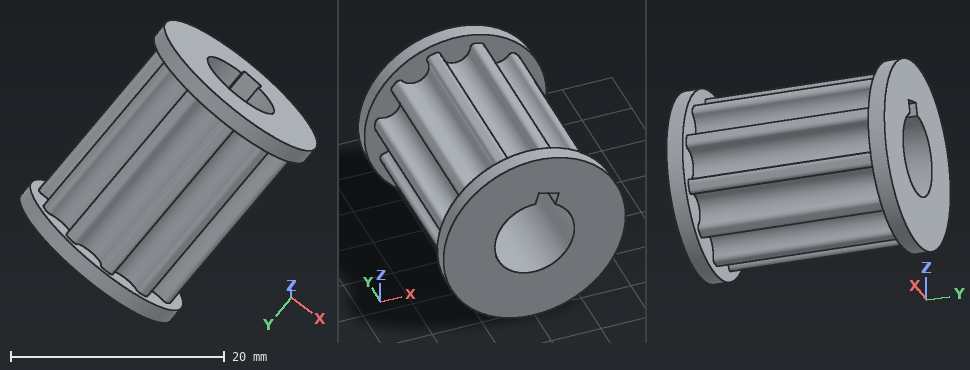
import cadquery as cq
import math

length = 21.68
flange_diameter = 18.36
flange_thickness = 1.6

tooth_count = 11
tip_radius = 8.2
groove_radius = 1.5
groove_center_radius = 7.72
tip_round = 0.43

bore_diameter = 8.0
key_width = 2.1
key_top_radius = 5.12

pitch_angle = 360 / tooth_count
drum_length = length - 2 * flange_thickness


def polar(radius, angle):
    """Point at a radius and an angle in degrees, measured from +Z towards +X."""
    a = math.radians(angle)
    return (radius * math.sin(a), radius * math.cos(a))


def toward(start, end, distance):
    """Point at a distance from start along the line to end."""
    ratio = distance / math.dist(start, end)
    return tuple(s + (e - s) * ratio for s, e in zip(start, end))


def make_drum():
    round_center_radius = tip_radius - tip_round
    center_distance = groove_radius + tip_round
    round_angle = math.degrees(math.acos(
        (round_center_radius**2 + groove_center_radius**2 - center_distance**2)
        / (2 * round_center_radius * groove_center_radius)
    ))
    groove_bottom_radius = groove_center_radius - groove_radius

    outline = cq.Workplane("XZ").moveTo(*polar(tip_radius, -round_angle))
    for i in range(tooth_count):
        angle = i * pitch_angle
        groove_center = polar(groove_center_radius, angle)
        left_center = polar(round_center_radius, angle - round_angle)
        right_center = polar(round_center_radius, angle + round_angle)
        left_tip = polar(tip_radius, angle - round_angle)
        right_tip = polar(tip_radius, angle + round_angle)
        left_wall = toward(left_center, groove_center, tip_round)
        right_wall = toward(right_center, groove_center, tip_round)

        left_chord_middle = tuple((p + q) / 2 for p, q in zip(left_tip, left_wall))
        right_chord_middle = tuple((p + q) / 2 for p, q in zip(right_tip, right_wall))
        left_middle = toward(left_center, left_chord_middle, tip_round)
        right_middle = toward(right_center, right_chord_middle, tip_round)

        land_middle = polar(tip_radius, angle + pitch_angle / 2)
        next_tip = polar(tip_radius, angle + pitch_angle - round_angle)
        outline = (
            outline.threePointArc(left_middle, left_wall)
            .threePointArc(polar(groove_bottom_radius, angle), right_wall)
            .threePointArc(right_middle, right_tip)
            .threePointArc(land_middle, next_tip)
        )
    return outline.close().extrude(drum_length).translate((0, drum_length / 2, 0))


def make_flange(side):
    center_y = side * (length - flange_thickness) / 2
    return (
        cq.Workplane("XZ", origin=(0, center_y + flange_thickness / 2, 0))
        .circle(flange_diameter / 2)
        .extrude(flange_thickness)
    )


def make_bore():
    bore = cq.Workplane("XZ", origin=(0, length / 2, 0)).circle(bore_diameter / 2).extrude(length)
    keyway = (
        cq.Workplane("XY")
        .rect(key_width, length)
        .extrude(key_top_radius)
        .rotate((0, 0, 0), (0, 1, 0), pitch_angle / 2)
    )
    return bore.union(keyway)


pulley = make_drum()
for side in (-1, 1):
    pulley = pulley.union(make_flange(side))

result = pulley.cut(make_bore())